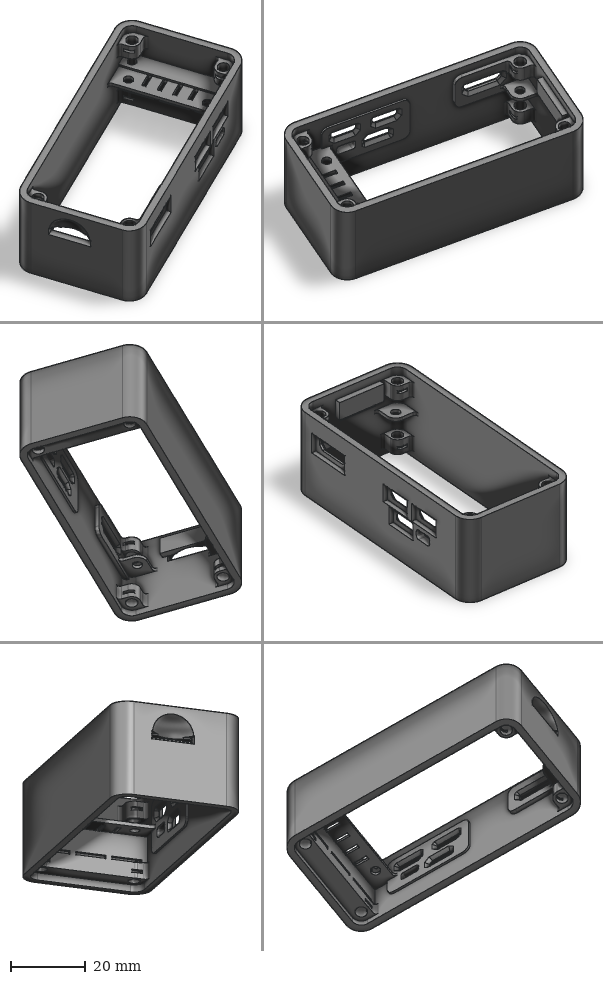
import cadquery as cq

width = 36.5
length = 75.1
height = 26.5
wall = 2.0
corner_radius = 4.95
inner_x = width / 2 - wall
inner_y = length / 2 - wall

boss_x = width / 2 - corner_radius
boss_y = length / 2 - corner_radius
boss_radius = 2.5
boss_hole_radius = 1.65
boss_height = 4.7
top_recess = 2.55
bottom_recess = 2.0
blend_radius = 1.0
bosses_top = height / 2 - top_recess
bosses_bottom = -height / 2 + bottom_recess
boss_floors = (bosses_bottom, bosses_top - boss_height)
nut_slot_width = 3.0
nut_slot_height = 0.9
nut_slot_inset = 2.0

board_centre_x = -0.3
board_hole_x = 11.5
board_hole_front_y = -31.5
board_hole_rear_y = 26.5
board_hole_radius = 1.35
support_radius = 3.0
support_top = 1.95
support_thickness = 1.05
support_bottom = support_top - support_thickness

block_setback = 0.1
block_front_y = boss_y - boss_radius + block_setback
block_top = 2.6
block_hole_radius = 1.3
groove_count = 3
groove_span = 29.3
groove_rib = 1.7
groove_depth = 0.9
groove_height = 0.9
groove_floor = -6.7

vent_count = 4
vent_pitch = 4.5
vent_width = 1.2
vent_front_y = 25.9
vent_undercut = 1.1

card_x = -2.0
card_width = 12.2
card_floor = 3.3
card_ceiling = 5.55
dome_floor = 5.1
dome_rim_radius = 5.9
dome_depth = 3.0
dome_radius = (dome_rim_radius ** 2 + dome_depth ** 2) / (2 * dome_depth)
card_block_border = 1.5
card_block_depth = 1.8

panel_radius = 2.25
long_panel_depth = 0.585
long_panel_y = (-0.7, 25.8)
long_panel_z = (-5.85, 9.25)
short_panel_depth = 1.2
short_panel_y = (-inner_y, -13.9)
short_panel_z = (-0.7, bosses_top)
long_panel_x = inner_x - long_panel_depth
short_panel_x = inner_x - short_panel_depth

port_bevel = 1.0
port_small_cut = 0.75
plug_recess_depth = 1.5
plug_recess_border = 1.5
usb_width = 9.4
usb_height = 4.5
usb_large_cut = 1.5
usb_upper_y = (6.45, 18.85)
usb_upper_z = 4.65
usb_lower_y = 8.95
usb_lower_z = -1.3
hdmi_width = 13.3
hdmi_height = 5.2
hdmi_large_cut = 1.9
hdmi_y = -22.6
hdmi_z = 4.9
switch_y = 18.5
switch_z = -1.0
switch_length = 5.8
switch_height = 3.0
switch_radius = 1.0


def box(xs, ys, zs):
    """Axis-aligned block between pairs of coordinates, given in any order."""
    sizes = [abs(b - a) for a, b in (xs, ys, zs)]
    return cq.Workplane("XY").box(*sizes, centered=False).translate((min(xs), min(ys), min(zs)))


def span(centre, size):
    """Pair of coordinates a given size apart around a centre."""
    return (centre - size / 2, centre + size / 2)


def cylinder(x, y, radius, z0, z1):
    """Upright cylinder between two heights."""
    return cq.Workplane("XY").center(x, y).circle(radius).extrude(z1 - z0).translate((0, 0, z0))


def rounded_prism(size_x, size_y, radius):
    """Full-height rounded rectangular prism, centred on the origin."""
    return cq.Workplane("XY").box(size_x, size_y, height).edges("|Z").fillet(radius)


def corner_face_x(side_x, side_y, z0):
    """Distance from the centre to the side face that a corner pad starting at z0 blends into."""
    on_short_panel = side_x > 0 and side_y < 0 and z0 > short_panel_z[0]
    return short_panel_x if on_short_panel else inner_x


def corner_pad(side_x, side_y, edge_x, edge_y, radius, z0, z1):
    """Pad in one corner: its edges are rounded where they meet and blended into both walls."""
    face_x = corner_face_x(side_x, side_y, z0)
    embed_x = inner_x + wall / 2
    embed_y = inner_y + wall / 2
    pad = (
        cq.Workplane("XY")
        .moveTo(embed_x, edge_y - blend_radius)
        .lineTo(face_x, edge_y - blend_radius)
        .radiusArc((face_x - blend_radius, edge_y), -blend_radius)
        .lineTo(edge_x + radius, edge_y)
        .radiusArc((edge_x, edge_y + radius), radius)
        .lineTo(edge_x, inner_y - blend_radius)
        .radiusArc((edge_x - blend_radius, inner_y), -blend_radius)
        .lineTo(edge_x - blend_radius, embed_y)
        .lineTo(boss_x, embed_y)
        .lineTo(embed_x, boss_y)
        .close()
        .extrude(z1 - z0)
        .translate((0, 0, z0))
    )
    if side_x < 0:
        pad = pad.mirror("YZ")
    if side_y < 0:
        pad = pad.mirror("XZ")
    return pad


def rear_shelf():
    """Shelf across the rear, its front edge blended into the -X wall and the long panel."""
    front_y = board_hole_rear_y - support_radius
    return (
        cq.Workplane("XY")
        .moveTo(-inner_x, inner_y)
        .lineTo(-inner_x, front_y - blend_radius)
        .radiusArc((-inner_x + blend_radius, front_y), blend_radius)
        .lineTo(long_panel_x - blend_radius, front_y)
        .radiusArc((long_panel_x, front_y - blend_radius), blend_radius)
        .lineTo(inner_x, front_y - blend_radius)
        .lineTo(inner_x, inner_y)
        .close()
        .extrude(support_thickness)
        .translate((0, 0, support_bottom))
    )


def wall_panel(face_x, ys, zs):
    """Rounded panel standing inward from the +X wall to face_x."""
    return box((face_x, inner_x + wall / 2), ys, zs).edges("|X").fillet(panel_radius)


def port_cutter(face_x, y, z, port_width, port_height, large_cut, large_cut_side):
    """Port bevelled at the panel face, with a wider rectangular plug recess in the outer face.

    The two corners on large_cut_side (-1 below, +1 above) are clipped by large_cut, the others by less.
    """
    half_w = port_width / 2
    near = large_cut_side * port_height / 2
    near_cut = near - large_cut_side * large_cut
    far = -near
    far_cut = far + large_cut_side * port_small_cut
    right_side = [
        (half_w - large_cut, near),
        (half_w, near_cut),
        (half_w, far_cut),
        (half_w - port_small_cut, far),
    ]
    left_side = [(-a, b) for a, b in reversed(right_side)]
    outline = right_side + left_side

    def profile(x):
        return cq.Workplane("YZ", origin=(x, y, z)).polyline(outline).close()

    recess_floor = width / 2 - plug_recess_depth
    recess_growth = plug_recess_border - port_bevel
    bevel = profile(face_x).extrude(port_bevel, taper=45)
    throat = profile(face_x).offset2D(-port_bevel, "intersection").extrude(width / 2 - face_x)
    recess = box(
        (recess_floor, width / 2),
        span(y, port_width + 2 * recess_growth),
        span(z, port_height + 2 * recess_growth),
    )
    return bevel.union(throat).union(recess)


envelope = rounded_prism(width, length, corner_radius)
body = envelope.cut(rounded_prism(2 * inner_x, 2 * inner_y, corner_radius - wall))

rear_block = box((-inner_x, inner_x), (block_front_y, inner_y), (bosses_bottom, block_top))
body = body.union(rear_block.union(rear_shelf()).intersect(envelope))

boss_edge_x = boss_x - boss_radius
boss_edge_y = boss_y - boss_radius
pad_edge_y = -board_hole_front_y - support_radius
for side_x in (-1, 1):
    pad_edge_x = board_hole_x + side_x * board_centre_x - support_radius
    body = body.union(
        corner_pad(side_x, -1, pad_edge_x, pad_edge_y, support_radius, support_bottom, support_top)
    )
    for side_y in (-1, 1):
        for floor in boss_floors:
            body = body.union(
                corner_pad(side_x, side_y, boss_edge_x, boss_edge_y, boss_radius, floor, floor + boss_height)
            )

body = body.union(wall_panel(long_panel_x, long_panel_y, long_panel_z))
body = body.union(wall_panel(short_panel_x, short_panel_y, short_panel_z))
card_block = box(
    span(card_x, card_width + 2 * card_block_border),
    (-inner_y - wall / 2, -inner_y + card_block_depth),
    (dome_floor, bosses_top),
)
body = body.union(card_block)

nut_slot_heights = (bosses_bottom + nut_slot_inset, bosses_top - nut_slot_inset)
for side_x in (-1, 1):
    body = body.cut(cylinder(side_x * boss_x, boss_y, block_hole_radius, bosses_bottom, block_top))
    for side_y in (-1, 1):
        for floor in boss_floors:
            body = body.cut(
                cylinder(side_x * boss_x, side_y * boss_y, boss_hole_radius, floor, floor + boss_height)
            )
        for slot_z in nut_slot_heights:
            nut_slot = box(
                span(side_x * boss_x, nut_slot_width),
                (side_y * boss_edge_y, side_y * boss_y),
                span(slot_z, nut_slot_height),
            )
            body = body.cut(nut_slot)

for side_x in (-1, 1):
    for hole_y in (board_hole_front_y, board_hole_rear_y):
        hole_x = board_centre_x + side_x * board_hole_x
        body = body.cut(cylinder(hole_x, hole_y, board_hole_radius, support_bottom, support_top))

for i in range(vent_count):
    vent_x = board_centre_x + (i - (vent_count - 1) / 2) * vent_pitch
    vent = box(
        span(vent_x, vent_width),
        (vent_front_y, block_front_y + vent_undercut),
        (support_bottom, support_top),
    )
    body = body.cut(vent)

groove_pitch = (groove_span + groove_rib) / groove_count
for i in range(groove_count):
    groove_x = (i - (groove_count - 1) / 2) * groove_pitch
    groove = box(
        span(groove_x, groove_pitch - groove_rib),
        (block_front_y, block_front_y + groove_depth),
        (groove_floor, groove_floor + groove_height),
    )
    body = body.cut(groove)

card_slot = box(span(card_x, card_width), (-length / 2, -inner_y), (card_floor, card_ceiling))
dome_y = -length / 2 + dome_depth - dome_radius
dome = cq.Workplane("XY").sphere(dome_radius).translate((card_x, dome_y, dome_floor))
upper_half = box((-width, width), (-length, 0), (dome_floor, height))
body = body.cut(card_slot).cut(dome.intersect(upper_half))

for port_y in usb_upper_y:
    body = body.cut(port_cutter(long_panel_x, port_y, usb_upper_z, usb_width, usb_height, usb_large_cut, -1))
lower_usb_port = port_cutter(
    long_panel_x, usb_lower_y, usb_lower_z, usb_width, usb_height, usb_large_cut, 1
)
hdmi_port = port_cutter(short_panel_x, hdmi_y, hdmi_z, hdmi_width, hdmi_height, hdmi_large_cut, -1)
body = body.cut(lower_usb_port).cut(hdmi_port)
switch_opening = box(
    (long_panel_x, width / 2),
    span(switch_y, switch_length),
    span(switch_z, switch_height),
).edges("|X").fillet(switch_radius)
body = body.cut(switch_opening)

result = body